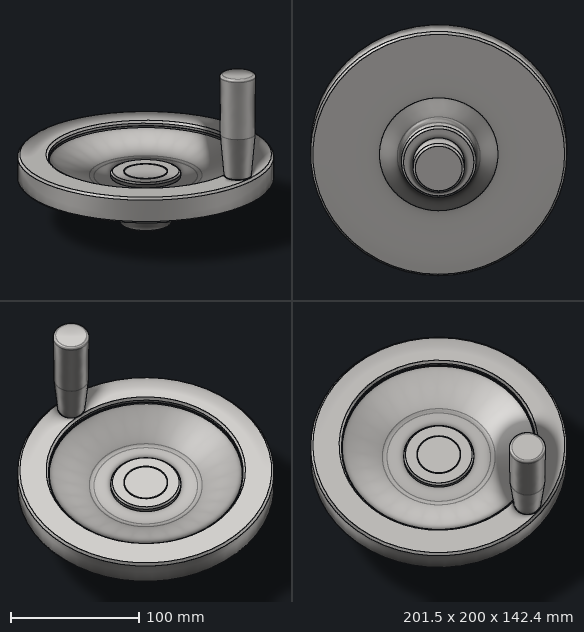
import cadquery as cq
import math

edge = 1.8

overall_length = 201.5

spigot_radius = 40.0 / 2
spigot_height = 16.0
hub_radius = 29.2
hub_side_top = 26.2
neck_radius = 5.0

rim_radius = 200.0 / 2
rim_bottom = 36.5
rim_top = 57.8
rim_bore_radius = 76.0

dish_angle = math.radians(21)
underside_angle = math.radians(22)
dish_drop = 5.2
ledge_drop = 3.8
ledge_width = 0.6
floor_round = 10.0
floor_height = 39.9

boss_radius = 27.5
boss_top = 44.0
boss_chamfer = 1.5
plug_radius = 16.7
groove_width = 0.5
groove_depth = 0.5

grip_radius = 14.1
grip_waist_radius = 13.7
grip_foot_radius = 10.7
grip_waist_height = 35.0
grip_height = 84.6
grip_round = 2.0
grip_foot_chamfer = 0.8
grip_offset = overall_length - rim_radius - grip_radius


def round_to_cone(tangent_point, radius, start_angle, end_angle):
    """Middle and end points of an arc from tangent_point, given the angles of its end radii."""
    center_r = tangent_point[0] - radius * math.cos(start_angle)
    center_z = tangent_point[1] - radius * math.sin(start_angle)

    def on_arc(angle):
        return (center_r + radius * math.cos(angle), center_z + radius * math.sin(angle))

    return on_arc((start_angle + end_angle) / 2), on_arc(end_angle)


def make_wheel():
    neck_mid, neck_end = round_to_cone(
        (hub_radius, hub_side_top), neck_radius, math.pi, math.pi / 2 + underside_angle
    )
    underside_width = (rim_bottom - neck_end[1]) / math.tan(underside_angle)
    dish_foot = (neck_end[0] + underside_width, rim_bottom)

    dish_edge = (rim_bore_radius - ledge_width, rim_top - dish_drop)
    tangent_length = floor_round * math.tan(dish_angle / 2)
    floor_corner = dish_edge[0] - (dish_edge[1] - floor_height) / math.tan(dish_angle)
    floor_start = (floor_corner - tangent_length, floor_height)
    floor_mid, floor_end = round_to_cone(
        floor_start, floor_round, -math.pi / 2, -math.pi / 2 + dish_angle
    )

    profile = (
        cq.Workplane("XZ")
        .lineTo(spigot_radius - edge, 0)
        .lineTo(spigot_radius, edge)
        .lineTo(spigot_radius, spigot_height)
        .lineTo(hub_radius - edge, spigot_height)
        .lineTo(hub_radius, spigot_height + edge)
        .lineTo(hub_radius, hub_side_top)
        .threePointArc(neck_mid, neck_end)
        .lineTo(*dish_foot)
        .lineTo(rim_radius - edge, rim_bottom)
        .lineTo(rim_radius, rim_bottom + edge)
        .lineTo(rim_radius, rim_top - edge)
        .lineTo(rim_radius - edge, rim_top)
        .lineTo(rim_bore_radius + edge, rim_top)
        .lineTo(rim_bore_radius, rim_top - edge)
        .lineTo(rim_bore_radius, rim_top - ledge_drop)
        .lineTo(dish_edge[0], rim_top - ledge_drop)
        .lineTo(*dish_edge)
        .lineTo(*floor_end)
        .threePointArc(floor_mid, floor_start)
        .lineTo(boss_radius, floor_height)
        .lineTo(boss_radius, boss_top - boss_chamfer)
        .lineTo(boss_radius - boss_chamfer, boss_top)
        .lineTo(plug_radius + groove_width, boss_top)
        .lineTo(plug_radius + groove_width, boss_top - groove_depth)
        .lineTo(plug_radius, boss_top - groove_depth)
        .lineTo(plug_radius, boss_top)
        .lineTo(0, boss_top)
        .close()
    )
    return profile.revolve(360, (0, 0, 0), (0, 1, 0))


def make_grip():
    shoulder_z = grip_height - grip_round
    corner = grip_round * math.sqrt(0.5)
    profile = (
        cq.Workplane("XZ")
        .lineTo(grip_foot_radius - grip_foot_chamfer, 0)
        .lineTo(grip_foot_radius, grip_foot_chamfer)
        .lineTo(grip_waist_radius, grip_waist_height)
        .lineTo(grip_radius, shoulder_z)
        .threePointArc(
            (grip_radius - grip_round + corner, shoulder_z + corner),
            (grip_radius - grip_round, grip_height),
        )
        .lineTo(0, grip_height)
        .close()
    )
    grip = profile.revolve(360, (0, 0, 0), (0, 1, 0))
    return grip.translate((grip_offset, 0, rim_top))


result = make_wheel().union(make_grip())